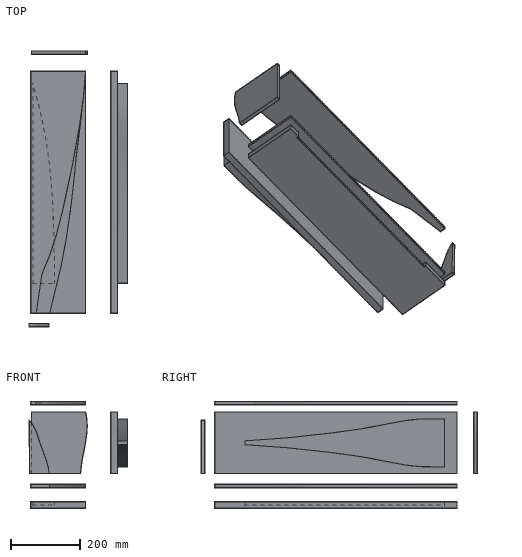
import cadquery as cq

TOTAL_LENGTH = 800.0
TOTAL_HEIGHT = 310.0
SHEET = 10.0
BOARD = 20.0
WIDTH = 159.0
FRONT_Y = -361.0
BACK_Y = 342.0
SIDE_Z = 101.0
SIDE_HEIGHT = 179.0
SHELF_Z = 60.0

SHAPED_FRONT_Y = -274.0
SHAPED_BACK_Y = 306.0

NOTCH_DEPTH = 6.0
LEDGE_HEIGHT = 10.0

SIDE_X = 232.0
BOSS_THICKNESS = 29.0
BOSS_HALF_WIDTH = 70.0
BOSS_HALF_TIP = 6.0
BOSS_CURVE_Y = 277.0

BACK_CAP_LEFT = 2.0
FIN_LEFT = -5.0
FIN_FOOT_LEFT = -3.0
FIN_FOOT_RIGHT = 54.0
FIN_HEIGHT = 155.0


def make_lid():
    """Top sheet whose curved edge narrows it to a straight-sided tip."""
    curve = [(73.0, -139.0), (102.0, -23.0), (126.0, 93.0), (148.0, 228.0), (WIDTH, BACK_Y)]
    return (
        cq.Workplane("XY", origin=(0, 0, TOTAL_HEIGHT - SHEET))
        .moveTo(0, BACK_Y)
        .lineTo(0, FRONT_Y)
        .lineTo(16.0, FRONT_Y)
        .lineTo(33.0, -246.0)
        .spline(curve, includeCurrent=True)
        .close()
        .extrude(SHEET)
    )


def make_shelf():
    """Lower sheet whose edge is two curves joined by a short straight step."""
    front_curve = [(101.0, -158.0), (115.0, -62.0), (129.0, 56.0)]
    back_curve = [(144.0, 187.0), (157.0, 300.0)]
    return (
        cq.Workplane("XY", origin=(0, 0, SHELF_Z))
        .moveTo(0, BACK_Y)
        .lineTo(0, FRONT_Y)
        .lineTo(55.0, FRONT_Y)
        .lineTo(69.0, -304.0)
        .spline(front_curve, includeCurrent=True)
        .lineTo(130.0, 72.0)
        .spline(back_curve, includeCurrent=True)
        .lineTo(WIDTH, BACK_Y)
        .close()
        .extrude(SHEET)
    )


def make_base():
    """Base board with a shallow edge notch and a widening pocket above a ledge."""
    length = BACK_Y - FRONT_Y
    board = cq.Workplane("XY").box(WIDTH, length, BOARD, centered=False).translate((0, FRONT_Y, 0))
    notch = (
        cq.Workplane("XY")
        .box(NOTCH_DEPTH, SHAPED_BACK_Y - SHAPED_FRONT_Y, BOARD, centered=False)
        .translate((0, SHAPED_FRONT_Y, 0))
    )
    wall = [(37.0, 184.0), (55.0, 68.0), (65.0, -56.0), (BOSS_HALF_WIDTH, SHAPED_FRONT_Y)]
    pocket = (
        cq.Workplane("XY", origin=(0, 0, LEDGE_HEIGHT))
        .moveTo(0, SHAPED_FRONT_Y)
        .lineTo(0, SHAPED_BACK_Y)
        .lineTo(NOTCH_DEPTH, SHAPED_BACK_Y)
        .spline(wall, includeCurrent=True)
        .close()
        .extrude(BOARD - LEDGE_HEIGHT)
    )
    return board.cut(notch).cut(pocket)


def make_side():
    """Side board with a symmetric boss on its outer face, tapering toward the front."""
    board = (
        cq.Workplane("XY")
        .box(BOARD, BACK_Y - FRONT_Y, SIDE_HEIGHT, centered=False)
        .translate((SIDE_X, FRONT_Y, SIDE_Z))
    )
    taper = [(206.0, 66.0), (94.0, 46.0), (-13.0, 30.0), (SHAPED_FRONT_Y, BOSS_HALF_TIP)]
    boss_center = (SIDE_X + BOARD, 0, SIDE_Z + SIDE_HEIGHT / 2)
    upper_half = (
        cq.Workplane("YZ", origin=boss_center)
        .moveTo(SHAPED_FRONT_Y, 0)
        .lineTo(SHAPED_BACK_Y, 0)
        .lineTo(SHAPED_BACK_Y, BOSS_HALF_WIDTH)
        .lineTo(BOSS_CURVE_Y, BOSS_HALF_WIDTH)
        .spline(taper, includeCurrent=True)
        .close()
        .extrude(BOSS_THICKNESS)
    )
    lower_half = upper_half.mirror("XY", boss_center)
    return board.union(upper_half).union(lower_half)


def make_back_cap():
    """Wide end cap with one bulging edge."""
    bulge = [(158.0, 182.0), (164.0, 230.0), (WIDTH, SIDE_Z + SIDE_HEIGHT)]
    return (
        cq.Workplane("XZ", origin=(0, TOTAL_LENGTH / 2, 0))
        .moveTo(BACK_CAP_LEFT, SIDE_Z)
        .lineTo(145.0, SIDE_Z)
        .spline(bulge, includeCurrent=True)
        .lineTo(BACK_CAP_LEFT, SIDE_Z + SIDE_HEIGHT)
        .close()
        .extrude(SHEET)
    )


def make_front_fin():
    """Narrow end cap whose curved edge rises to a point."""
    curve = [(41.0, 153.0), (30.0, 182.0), (20.0, 213.0), (6.0, 242.0), (FIN_LEFT, SIDE_Z + FIN_HEIGHT)]
    return (
        cq.Workplane("XZ", origin=(0, SHEET - TOTAL_LENGTH / 2, 0))
        .moveTo(FIN_FOOT_LEFT, SIDE_Z)
        .lineTo(FIN_FOOT_RIGHT, SIDE_Z)
        .spline(curve, includeCurrent=True)
        .close()
        .extrude(SHEET)
    )


lid = make_lid()
shelf = make_shelf()
base = make_base()
side = make_side()
back_cap = make_back_cap()
front_fin = make_front_fin()

result = cq.Compound.makeCompound(
    [lid.val(), shelf.val(), base.val(), side.val(), back_cap.val(), front_fin.val()]
)